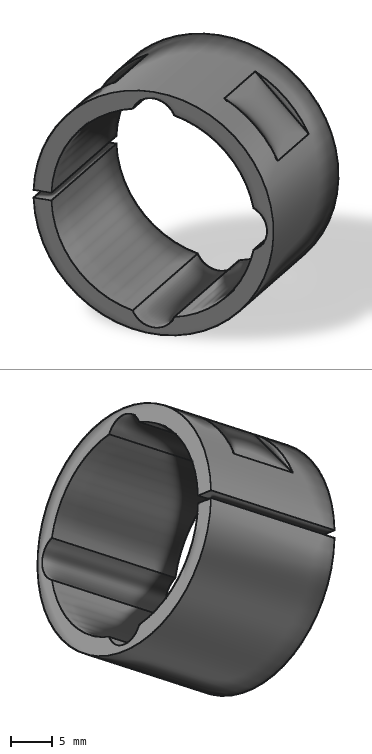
import cadquery as cq
import math

outer_radius = 15.875
inner_radius = 13.5
length = 20.14

groove_depth_radius = 15.0
groove_radius = 3.0
groove_angles = (0, 90, -90)

slit_width = 1.0

flat_width = 10.0
flat_length = 9.525
flat_distance = math.sqrt(outer_radius**2 - (flat_width / 2) ** 2)
flat_angles = (45, 135)


def cylinder_along_y(radius, x=0, z=0):
    """Cylinder of the ring's length, centred on Y = 0."""
    start = cq.Vector(x, -length / 2, z)
    return cq.Workplane(cq.Solid.makeCylinder(radius, length, start, cq.Vector(0, 1, 0)))


def groove(angle):
    """Round groove whose bottom reaches groove_depth_radius."""
    distance = groove_depth_radius - groove_radius
    direction = math.radians(angle)
    return cylinder_along_y(groove_radius, distance * math.cos(direction), distance * math.sin(direction))


def slit():
    """Slot from the axis out through the -X wall."""
    return cq.Workplane("XY").box(2 * outer_radius, length, slit_width).translate((-outer_radius, 0, 0))


def flat(angle):
    """Block that removes everything beyond flat_distance in the given direction."""
    block = cq.Workplane("XY").box(outer_radius, flat_length, 2 * outer_radius)
    block = block.translate((flat_distance + outer_radius / 2, 0, 0))
    return block.rotate((0, 0, 0), (0, 1, 0), -angle)


result = cylinder_along_y(outer_radius).cut(cylinder_along_y(inner_radius))
for groove_angle in groove_angles:
    result = result.cut(groove(groove_angle))
result = result.cut(slit())
for flat_angle in flat_angles:
    result = result.cut(flat(flat_angle))